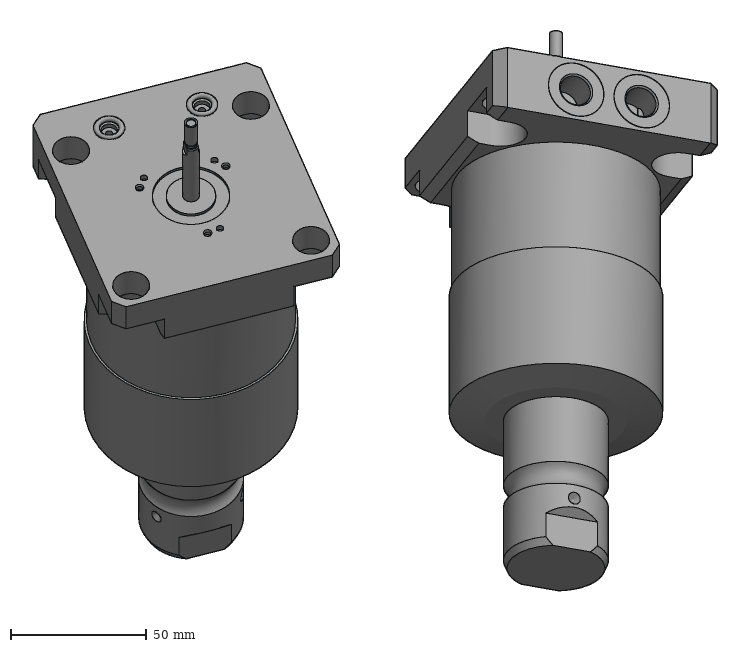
import cadquery as cq
import math


plate_side = 88.8
plate_length = 100.0
plate_thickness = 25.0
plate_corner = 4.2
edge_bevel_run = 4.5
edge_bevel_height = 2.0

mount_offset = 35.0
mount_hole_diameter = 13.6
pocket_radius = 9.8
pocket_top_z = -12.3

recess_outer_diameter = 28.5
recess_inner_diameter = 18.3
recess_depth = 1.1

small_hole_circle_radius = 19.5
small_hole_depth = 2.2
plain_hole_diameter = 2.7
countersunk_mouth_diameter = 3.1
countersunk_pilot_diameter = 2.2
countersink_depth = 0.7
countersunk_angles = (0, 120, 240)
plain_angles = (15, 135, 225)

port_offset = 13.0
port_z = -plate_thickness / 2
port_diameter = 11.8
port_chamfer = 0.7
port_face_diameter = 21.9
port_face_depth = 0.2

seal_x = -41.3
seal_y = 18.0
seal_ring_radius = 4.7
seal_cord_radius = 1.1
seal_height = 0.7
seal_floor_overlap = 0.11
seal_bore_diameter = 6.0
seal_bore_depth = 3.3
feed_hole_diameter = 2.7
feed_hole_depth = 14.0

shaft_radius = 3.1
shaft_step_z = 28.8
shaft_step_bevel = 0.5
shaft_top_z = 40.6
neck_top_z = 30.1
neck_radius = 2.2
shaft_tip_radius = 2.5
shaft_bore_diameter = 3.5
shaft_bore_depth = 0.5
key_seat_radius = 2.2
key_seat_half_gap = 2.2
key_seat_z = 26.8

collar_radius = 38.5
body_radius = 39.5
body_top_z = -69.2
body_bottom_z = -117.8
body_cone_z = -121.2
body_cone_radius = 26.3
stem_radius = 19.5
groove_top_z = -148.2
groove_bottom_z = -157.3
groove_depth = 1.8
stem_bottom_z = -182.5
stem_bevel_height = 3.1
stem_bevel_inset = 1.3

flat_half_gap = 16.5
flat_ramp_end_z = -169.5
detent_z = -163.0
detent_radius = 2.5
detent_angles = (60, 180, 300)


def cylinder_down(x, y, top_z, diameter, depth):
    return cq.Workplane("XY", origin=(x, y, top_z)).circle(diameter / 2).extrude(-depth)


def make_plate():
    plate = (
        cq.Workplane("XY")
        .box(plate_length, plate_side, plate_thickness, centered=(False, True, False))
        .translate((plate_side / 2 - plate_length, 0, -plate_thickness))
        .edges("|Z")
        .chamfer(plate_corner)
    )
    return plate.cut(make_edge_bevels())


def make_edge_bevels():
    """Wedges removing the lower edges of the +X, +Y and -Y sides."""
    half = plate_side / 2
    wedge = (
        cq.Workplane("XZ")
        .moveTo(half, -plate_thickness)
        .lineTo(half, -plate_thickness + edge_bevel_height)
        .lineTo(half - edge_bevel_run, -plate_thickness)
        .close()
        .extrude(plate_length, both=True)
    )
    bevels = wedge
    for angle in (90, -90):
        bevels = bevels.union(wedge.rotate((0, 0, 0), (0, 0, 1), angle))
    return bevels


def make_pocket(x_sign, y_sign):
    """Round-ended pocket open to the side; the +X pockets also open to the end face."""
    x = x_sign * mount_offset
    y = y_sign * mount_offset
    height = pocket_top_z + plate_thickness
    side_slot = cq.Workplane("XY").box(2 * pocket_radius, plate_side, height, centered=(True, True, False))
    side_slot = side_slot.translate((x, y + y_sign * plate_side / 2, -plate_thickness))
    pocket = side_slot.union(cylinder_down(x, y, pocket_top_z, 2 * pocket_radius, height))
    if x_sign > 0:
        end_length = plate_side / 2
        inner_y = y - y_sign * pocket_radius
        end_slot = cq.Workplane("XY").box(end_length, plate_side, height, centered=(False, True, False))
        end_slot = end_slot.translate((x, inner_y + y_sign * plate_side / 2, -plate_thickness))
        pocket = pocket.union(end_slot)
    return pocket


def make_turned_body():
    groove_mid_z = (groove_top_z + groove_bottom_z) / 2
    profile = (
        cq.Workplane("XZ")
        .moveTo(0, stem_bottom_z)
        .lineTo(stem_radius - stem_bevel_inset, stem_bottom_z)
        .lineTo(stem_radius, stem_bottom_z + stem_bevel_height)
        .lineTo(stem_radius, groove_bottom_z)
        .threePointArc((stem_radius - groove_depth, groove_mid_z), (stem_radius, groove_top_z))
        .lineTo(stem_radius, body_cone_z)
        .lineTo(body_cone_radius, body_cone_z)
        .lineTo(body_radius, body_bottom_z)
        .lineTo(body_radius, body_top_z)
        .lineTo(collar_radius, body_top_z)
        .lineTo(collar_radius, -plate_thickness)
        .lineTo(0, -plate_thickness)
        .close()
    )
    return profile.revolve(360, (0, 0), (0, 1))


def make_wrench_flat():
    """Cutter for the +X flat, running out upward along a 45 degree ramp."""
    outer = 2 * stem_radius
    return (
        cq.Workplane("XZ")
        .moveTo(flat_half_gap, stem_bottom_z)
        .lineTo(flat_half_gap, flat_ramp_end_z)
        .lineTo(outer, flat_ramp_end_z + outer - flat_half_gap)
        .lineTo(outer, stem_bottom_z)
        .close()
        .extrude(stem_radius, both=True)
    )


def make_detent(angle):
    direction = cq.Vector(math.cos(math.radians(angle)), math.sin(math.radians(angle)), 0)
    mouth = direction * stem_radius + cq.Vector(0, 0, detent_z)
    return cq.Workplane(cq.Solid.makeCone(detent_radius, 0, detent_radius, pnt=mouth, dir=direction * -1))


def make_shaft():
    """Stepped shaft, rooted inside the plate, with key seats facing +Y and -Y."""
    profile = (
        cq.Workplane("XZ")
        .moveTo(0, -recess_depth)
        .lineTo(shaft_radius, -recess_depth)
        .lineTo(shaft_radius, shaft_step_z - shaft_step_bevel)
        .lineTo(shaft_radius - shaft_step_bevel, shaft_step_z)
        .lineTo(neck_radius, shaft_step_z)
        .lineTo(neck_radius, neck_top_z)
        .lineTo(shaft_tip_radius, neck_top_z)
        .lineTo(shaft_tip_radius, shaft_top_z)
        .lineTo(0, shaft_top_z)
        .close()
    )
    shaft = profile.revolve(360, (0, 0), (0, 1))
    shaft = shaft.cut(cylinder_down(0, 0, shaft_top_z, shaft_bore_diameter, shaft_bore_depth))
    for side in (1, -1):
        seat = (
            cq.Workplane("XZ", origin=(0, side * key_seat_half_gap, 0))
            .moveTo(-key_seat_radius, shaft_step_z)
            .lineTo(-key_seat_radius, key_seat_z)
            .threePointArc((0, key_seat_z - key_seat_radius), (key_seat_radius, key_seat_z))
            .lineTo(key_seat_radius, shaft_step_z)
            .close()
            .extrude(-side * shaft_radius)
        )
        shaft = shaft.cut(seat)
    return shaft


def make_side_port(y):
    """Port with a shallow spot face; its flat end meets the axis of the feed hole."""
    face_x = plate_side / 2 - plate_length
    floor_x = face_x + port_face_depth
    spot_face = cq.Workplane("YZ", origin=(face_x, y, port_z)).circle(port_face_diameter / 2)
    bore = cq.Workplane("YZ", origin=(floor_x, y, port_z)).circle(port_diameter / 2).extrude(seal_x - floor_x)
    mouth = cq.Solid.makeCone(
        port_diameter / 2 + port_chamfer,
        port_diameter / 2,
        port_chamfer,
        pnt=cq.Vector(floor_x, y, port_z),
        dir=cq.Vector(1, 0, 0),
    )
    return spot_face.extrude(port_face_depth).union(bore).union(cq.Workplane(mouth))


def make_seal_seat(y):
    seat_diameter = 2 * (seal_ring_radius + seal_cord_radius)
    seat_depth = 2 * seal_cord_radius - seal_height - seal_floor_overlap
    seat = cylinder_down(seal_x, y, 0, seat_diameter, seat_depth)
    bore = cylinder_down(seal_x, y, 0, seal_bore_diameter, seal_bore_depth)
    feed = cylinder_down(seal_x, y, 0, feed_hole_diameter, feed_hole_depth)
    return seat.union(bore).union(feed)


def make_seal_ring(y):
    center = cq.Vector(seal_x, y, seal_height - seal_cord_radius)
    return cq.Workplane(cq.Solid.makeTorus(seal_ring_radius, seal_cord_radius, center))


def small_hole_center(angle):
    x = small_hole_circle_radius * math.cos(math.radians(angle))
    y = small_hole_circle_radius * math.sin(math.radians(angle))
    return x, y


def make_countersunk_hole(angle):
    x, y = small_hole_center(angle)
    countersink = cq.Solid.makeCone(
        countersunk_mouth_diameter / 2,
        countersunk_pilot_diameter / 2,
        countersink_depth,
        pnt=cq.Vector(x, y, 0),
        dir=cq.Vector(0, 0, -1),
    )
    pilot = cylinder_down(x, y, 0, countersunk_pilot_diameter, small_hole_depth)
    return pilot.union(cq.Workplane(countersink))


plate = make_plate()
for x_sign in (1, -1):
    for y_sign in (1, -1):
        plate = plate.cut(make_pocket(x_sign, y_sign))
        hole_x = x_sign * mount_offset
        hole_y = y_sign * mount_offset
        plate = plate.cut(cylinder_down(hole_x, hole_y, 0, mount_hole_diameter, plate_thickness))

bushing_recess = (
    cq.Workplane("XY")
    .circle(recess_outer_diameter / 2)
    .circle(recess_inner_diameter / 2)
    .extrude(-recess_depth)
)
plate = plate.cut(bushing_recess)

for angle in countersunk_angles:
    plate = plate.cut(make_countersunk_hole(angle))
for angle in plain_angles:
    hole_x, hole_y = small_hole_center(angle)
    plate = plate.cut(cylinder_down(hole_x, hole_y, 0, plain_hole_diameter, small_hole_depth))

for side in (1, -1):
    plate = plate.cut(make_side_port(side * port_offset))
    plate = plate.cut(make_seal_seat(side * seal_y))
    plate = plate.union(make_seal_ring(side * seal_y))

body = make_turned_body()
wrench_flat = make_wrench_flat()
body = body.cut(wrench_flat).cut(wrench_flat.mirror("YZ"))
for angle in detent_angles:
    body = body.cut(make_detent(angle))

result = plate.union(body).union(make_shaft())